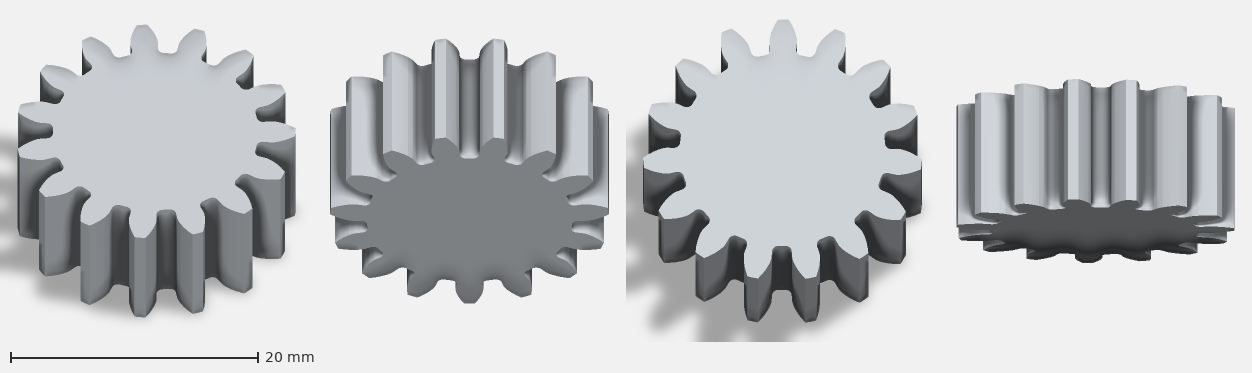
import cadquery as cq
import math

tooth_count = 15
pressure_angle = math.radians(20)
width_y = 22.55
face_width = 10.0
addendum_ratio = 1.0
dedendum_ratio = 1.25
root_fillet_ratio = 0.38
curve_point_count = 5


def involute(angle):
    return math.tan(angle) - angle


tooth_pitch = 2 * math.pi / tooth_count
base_half_angle = tooth_pitch / 4 + involute(pressure_angle)
tip_pressure_angle = math.acos(
    tooth_count * math.cos(pressure_angle) / (tooth_count + 2 * addendum_ratio)
)
tip_half_angle = base_half_angle - involute(tip_pressure_angle)

tip_radius = width_y / 2 / math.cos(tooth_pitch / 4 - tip_half_angle)
module = tip_radius / (tooth_count / 2 + addendum_ratio)
pitch_radius = module * tooth_count / 2
base_radius = pitch_radius * math.cos(pressure_angle)
root_radius = pitch_radius - dedendum_ratio * module

fillet_radius = root_fillet_ratio * module
fillet_center_radius = root_radius + fillet_radius
fillet_turn = math.asin(fillet_radius / fillet_center_radius)
fillet_top_radius = fillet_center_radius * math.cos(fillet_turn)
fillet_center_angle = base_half_angle + fillet_turn


def polar(radius, angle):
    return (radius * math.cos(angle), radius * math.sin(angle))


def fillet_middle(center_line, side):
    """Middle of the root fillet arc on one side (-1 or 1) of a tooth."""
    center_angle = center_line + side * fillet_center_angle
    center = polar(fillet_center_radius, center_angle)
    sweep = math.pi / 2 - fillet_turn
    offset = polar(fillet_radius, center_angle + math.pi + side * sweep / 2)
    return (center[0] + offset[0], center[1] + offset[1])


def involute_points(center_line, side, start_angle, end_angle):
    """Points of the involute flank between two pressure angles."""
    start_roll = math.tan(start_angle)
    end_roll = math.tan(end_angle)
    points = []
    for i in range(curve_point_count):
        roll = start_roll + (end_roll - start_roll) * i / (curve_point_count - 1)
        angle = math.atan(roll)
        half_angle = base_half_angle - involute(angle)
        points.append(polar(base_radius / math.cos(angle), center_line + side * half_angle))
    return points


def add_tooth(outline, center_line):
    """Continue the outline over one tooth and along the root to the next one."""
    start_angle = center_line - base_half_angle
    end_angle = center_line + base_half_angle
    rising_lower = involute_points(center_line, -1, 0, pressure_angle)
    rising_upper = involute_points(center_line, -1, pressure_angle, tip_pressure_angle)
    falling_upper = involute_points(center_line, 1, tip_pressure_angle, pressure_angle)
    falling_lower = involute_points(center_line, 1, pressure_angle, 0)
    root_start = polar(root_radius, center_line + fillet_center_angle)
    root_middle = polar(root_radius, center_line + tooth_pitch / 2)
    root_end = polar(root_radius, center_line + tooth_pitch - fillet_center_angle)
    return (
        outline
        .threePointArc(fillet_middle(center_line, -1), polar(fillet_top_radius, start_angle))
        .lineTo(*rising_lower[0])
        .spline(rising_lower[1:], includeCurrent=True)
        .spline(rising_upper[1:], includeCurrent=True)
        .threePointArc(polar(tip_radius, center_line), falling_upper[0])
        .spline(falling_upper[1:], includeCurrent=True)
        .spline(falling_lower[1:], includeCurrent=True)
        .lineTo(*polar(fillet_top_radius, end_angle))
        .threePointArc(fillet_middle(center_line, 1), root_start)
        .threePointArc(root_middle, root_end)
    )


gear_outline = cq.Workplane("XY").moveTo(*polar(root_radius, -fillet_center_angle))
for tooth in range(tooth_count):
    gear_outline = add_tooth(gear_outline, tooth * tooth_pitch)

result = gear_outline.close().extrude(face_width)